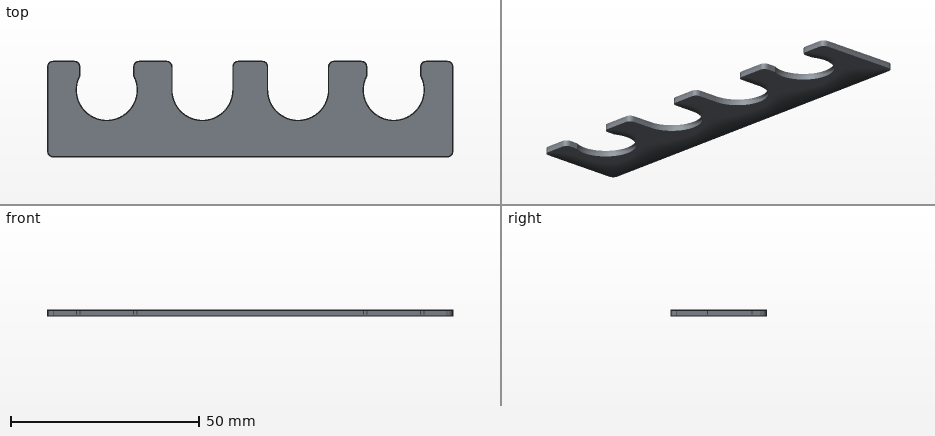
import cadquery as cq

length = 107.7
width = 25.4
thickness = 1.6
corner_radius = 1.5

socket_count = 4
socket_pitch = 25.4
socket_radius = 8.1
floor_width = 9.7
socket_y = floor_width + socket_radius - width / 2

narrow_mouth = 14.3
full_mouth = 2 * socket_radius


def socket_cutter(x, mouth_width):
    """Round seat joined to a straight mouth that runs out to the back edge."""
    mouth_length = width / 2 - socket_y
    seat = cq.Workplane("XY").center(x, socket_y).circle(socket_radius).extrude(thickness)
    mouth = (
        cq.Workplane("XY")
        .center(x, socket_y + mouth_length / 2)
        .rect(mouth_width, mouth_length)
        .extrude(thickness)
    )
    return seat.union(mouth)


plate = cq.Workplane("XY").box(length, width, thickness, centered=(True, True, False))

for index in range(socket_count):
    is_end = index in (0, socket_count - 1)
    socket_x = (index - (socket_count - 1) / 2) * socket_pitch
    plate = plate.cut(socket_cutter(socket_x, narrow_mouth if is_end else full_mouth))

front_corners = plate.faces("<Y").edges("|Z")
back_corners = plate.faces(">Y").edges("|Z")
result = plate.newObject(front_corners.vals() + back_corners.vals()).fillet(corner_radius)